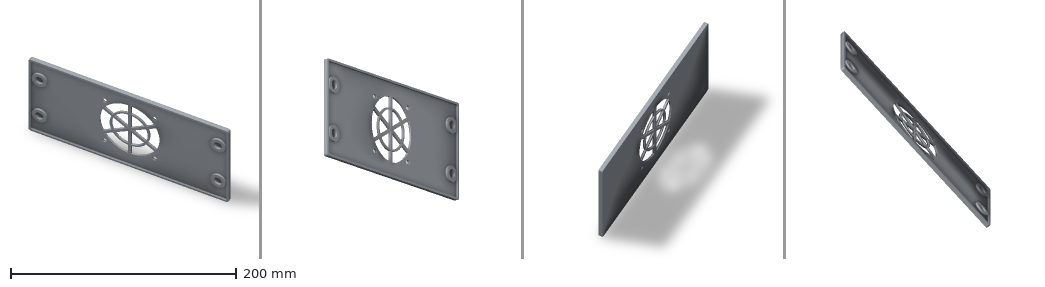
import cadquery as cq

length = 199.6
height = 89.0
thickness = 4.0
corner_radius = 2.0
rim_width = 2.0
recess_depth = 2.0
recess_corner_radius = 1.5

boss_diameter = 15.0
boss_height = recess_depth
socket_diameter = 8.2
socket_depth = 3.0
boss_spacing_x = 178.5
boss_spacing_z = height / 2

grille_diameter = 59.9
ring_outer_diameter = 40.0
ring_inner_diameter = 36.3
spoke_width = 3.0
spoke_bar_count = 3
first_spoke_angle = 30
fan_hole_diameter = 4.4
fan_hole_spacing = 49.9

boss_top_y = recess_depth - boss_height

def plane_at(y):
    """Sketch plane facing +Y, with its local y axis along Z and local x along -X."""
    return cq.Workplane(cq.Plane(origin=(0, y, 0), xDir=(-1, 0, 0), normal=(0, 1, 0)))

def rounded_plate(width, tall, depth, radius):
    return plane_at(0).rect(width, tall).extrude(depth).edges("|Y").fillet(radius)

def boss_cylinders(diameter, start_y, depth):
    return (
        plane_at(start_y)
        .rarray(boss_spacing_x, boss_spacing_z, 2, 2)
        .circle(diameter / 2)
        .extrude(depth)
    )

def grille_openings():
    """Fan opening less the middle ring and the crossing spoke bars."""
    openings = plane_at(0).circle(grille_diameter / 2).extrude(thickness)
    ring = (
        plane_at(0)
        .circle(ring_outer_diameter / 2)
        .circle(ring_inner_diameter / 2)
        .extrude(thickness)
    )
    openings = openings.cut(ring)
    for index in range(spoke_bar_count):
        angle = first_spoke_angle + index * 180 / spoke_bar_count
        bar = plane_at(0).rect(grille_diameter + spoke_width, spoke_width).extrude(thickness)
        openings = openings.cut(bar.rotate((0, 0, 0), (0, 1, 0), angle))
    return openings

def fan_holes():
    return (
        plane_at(0)
        .rarray(fan_hole_spacing, fan_hole_spacing, 2, 2)
        .circle(fan_hole_diameter / 2)
        .extrude(thickness)
    )

panel = rounded_plate(length, height, thickness, corner_radius)
recess = rounded_plate(
    length - 2 * rim_width, height - 2 * rim_width, recess_depth, recess_corner_radius
)

result = (
    panel.cut(recess)
    .union(boss_cylinders(boss_diameter, boss_top_y, boss_height))
    .cut(boss_cylinders(socket_diameter, boss_top_y, socket_depth))
    .cut(grille_openings())
    .cut(fan_holes())
)